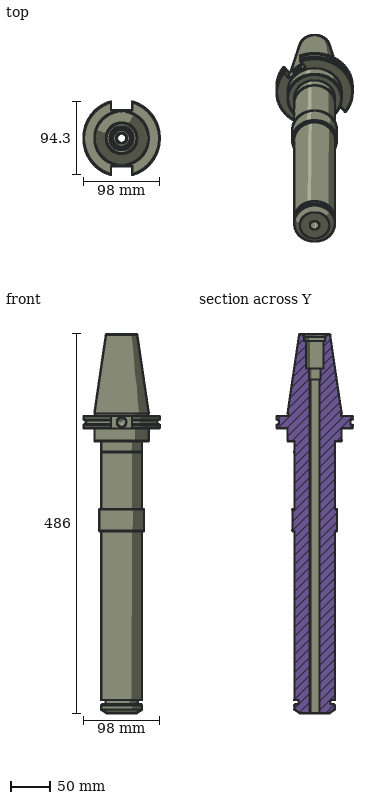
import cadquery as cq
import math

total_length = 486.0

taper_ratio = 7 / 24
gauge_diameter = 70.0
taper_length = 101.5
taper_top_chamfer = 1.0
gauge_height = total_length - taper_length

flange_diameter = 98.0
flange_gap = 3.15
flange_gap_diameter = 68.0
flange_thickness = 16.0
flange_edge_chamfer = 1.0
groove_root_diameter = 92.5
groove_root_width = 4.5
groove_mouth_width = 7.5
flange_top = gauge_height - flange_gap
flange_bottom = flange_top - flange_thickness
groove_height = (flange_top + flange_bottom) / 2

hub_length = 16.5
hub_chamfer = 1.0
hub_bottom = flange_bottom - hub_length

body_diameter = 52.5
body_bottom = 17.0
collar_diameter = 58.0
collar_top = 262.0
collar_bottom = 233.5
collar_chamfer = 1.0

score_height = 335.0
score_depth = 0.25
score_width = 1.0

neck_diameter = 42.0
nut_top = 12.0
nut_edge_chamfer = 2.0
nut_cone_height = 5.0
nose_diameter = 38.0

slot_width = 26.5
slot_floor_radius = 36.0
dimple_diameter = 12.0
dimple_depth = 2.5
drill_point_angle = 118

bore_mouth_diameter = 30.5
bore_mouth_depth = 4.0
pilot_diameter = 26.2
pilot_depth = 8.7
thread_diameter = 22.0
thread_depth = 43.5
seat_diameter = 14.0
seat_depth = 58.5
through_diameter = 12.0


def revolve_about_z(outline):
    """Turn a closed (radius, height) outline about the Z axis."""
    return cq.Workplane("XZ").polyline(outline).close().revolve(360, (0, 0, 0), (0, 1, 0))


def turned_body():
    """Shank, flange, hub, body, collar and nut, outlined from the nose upward."""
    gauge_radius = gauge_diameter / 2
    taper_top_radius = gauge_radius - taper_length * taper_ratio / 2
    flange_radius = flange_diameter / 2
    flange_lip_radius = flange_radius - flange_edge_chamfer
    groove_radius = groove_root_diameter / 2
    body_radius = body_diameter / 2
    collar_radius = collar_diameter / 2
    nut_lip_radius = body_radius - nut_edge_chamfer
    outline = [
        (0, 0),
        (nose_diameter / 2, 0),
        (body_radius, nut_cone_height),
        (body_radius, nut_top - nut_edge_chamfer),
        (nut_lip_radius, nut_top),
        (neck_diameter / 2, nut_top),
        (neck_diameter / 2, body_bottom),
        (body_radius, body_bottom),
        (body_radius, collar_bottom),
        (collar_radius - collar_chamfer, collar_bottom),
        (collar_radius, collar_bottom + collar_chamfer),
        (collar_radius, collar_top - collar_chamfer),
        (collar_radius - collar_chamfer, collar_top),
        (body_radius, collar_top),
        (body_radius, score_height - score_width / 2),
        (body_radius - score_depth, score_height),
        (body_radius, score_height + score_width / 2),
        (body_radius, hub_bottom),
        (gauge_radius - hub_chamfer, hub_bottom),
        (gauge_radius, hub_bottom + hub_chamfer),
        (gauge_radius, flange_bottom),
        (flange_lip_radius, flange_bottom),
        (flange_radius, flange_bottom + flange_edge_chamfer),
        (flange_radius, groove_height - groove_mouth_width / 2),
        (groove_radius, groove_height - groove_root_width / 2),
        (groove_radius, groove_height + groove_root_width / 2),
        (flange_radius, groove_height + groove_mouth_width / 2),
        (flange_radius, flange_top - flange_edge_chamfer),
        (flange_lip_radius, flange_top),
        (flange_gap_diameter / 2, flange_top),
        (flange_gap_diameter / 2, gauge_height),
        (gauge_radius, gauge_height),
        (taper_top_radius, total_length - taper_top_chamfer),
        (taper_top_radius - taper_top_chamfer, total_length),
        (0, total_length),
    ]
    return revolve_about_z(outline)


def drive_slot():
    """Cutter for the flat-floored slot on the -Y side of the flange."""
    depth = flange_diameter / 2 - slot_floor_radius
    slot = cq.Workplane("XY").box(slot_width, depth, flange_thickness, centered=(True, False, False))
    return slot.translate((0, -flange_diameter / 2, flange_bottom))


def dimple():
    """Cutter for the shallow drilled hole, with its conical point toward +Y."""
    radius = dimple_diameter / 2
    point_length = radius / math.tan(math.radians(drill_point_angle / 2))
    profile = [(0, 0), (radius, 0), (radius, dimple_depth), (0, dimple_depth + point_length)]
    drill = cq.Workplane("XY").polyline(profile).close().revolve(360, (0, 0, 0), (0, 1, 0))
    return drill.translate((0, -slot_floor_radius, groove_height))


def stepped_bore():
    """Cutter for the bore, outlined from the shank end downward."""
    mouth_radius = bore_mouth_diameter / 2
    pilot_radius = pilot_diameter / 2
    thread_radius = thread_diameter / 2
    seat_radius = seat_diameter / 2
    through_radius = through_diameter / 2
    outline = [
        (0, total_length),
        (mouth_radius, total_length),
        (pilot_radius, total_length - bore_mouth_depth),
        (pilot_radius, total_length - pilot_depth),
        (thread_radius, total_length - pilot_depth),
        (thread_radius, total_length - thread_depth),
        (seat_radius, total_length - thread_depth),
        (seat_radius, total_length - seat_depth),
        (through_radius, total_length - seat_depth),
        (through_radius, 0),
        (0, 0),
    ]
    return revolve_about_z(outline)


slot_with_dimple = drive_slot().union(dimple())
result = turned_body().cut(stepped_bore())
for angle in (0, 180):
    result = result.cut(slot_with_dimple.rotate((0, 0, 0), (0, 0, 1), angle))